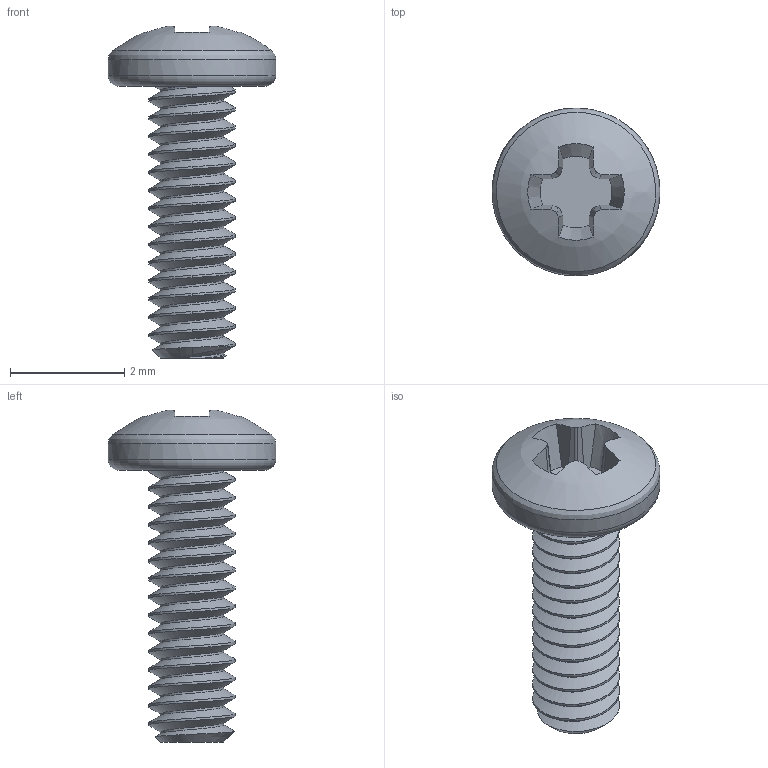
import cadquery as cq
import math


MAJOR_RADIUS = 1.524 / 2
PITCH = 0.3175
TURNS = 15
SHANK_LENGTH = TURNS * PITCH
FLANK_TAN = math.tan(math.radians(30))
CREST_FLAT = PITCH / 8
ROOT_FLAT = PITCH / 8
THREAD_DEPTH = (PITCH - CREST_FLAT - ROOT_FLAT) / 2 / FLANK_TAN
ROOT_RADIUS = MAJOR_RADIUS - THREAD_DEPTH
TIP_CHAMFER = 0.2
START_ANGLE = -90
CUTTER_OVERSHOOT = 0.01

HEAD_RADIUS = 2.946 / 2
HEAD_HEIGHT = 1.116
DOME_RADIUS = 2.24
RIM_FILLET = 0.2

RECESS_FLOOR_Z = 0.165
RECESS_HEIGHT = HEAD_HEIGHT - RECESS_FLOOR_Z
WING_FLOOR_HALF_WIDTH = 0.231
WING_FLOOR_RADIUS = 0.627
WING_SIDE_DRAFT = 5.0
WING_END_DRAFT = 15.6
RIDGE_FACE_START = 0.425
RIDGE_FACE_ANGLE = 22.5
RIDGE_FILLET = 0.06
WING_BLANK_LENGTH = HEAD_RADIUS


def make_groove():
    """Solid swept by a trapezoid along a right-handed helix, bounded by ruled surfaces.

    It runs one pitch past both ends of the shank and starts at +X.
    """
    start = cq.Vector(0, 0, -SHANK_LENGTH - PITCH)
    length = SHANK_LENGTH + 2 * PITCH
    outer_radius = MAJOR_RADIUS + CUTTER_OVERSHOOT
    half_root = ROOT_FLAT / 2
    half_mouth = half_root + (outer_radius - ROOT_RADIUS) * FLANK_TAN
    section = [
        (ROOT_RADIUS, -half_root),
        (outer_radius, -half_mouth),
        (outer_radius, half_mouth),
        (ROOT_RADIUS, half_root),
    ]
    helices = []
    for radius, height in section:
        wire = cq.Wire.makeHelix(PITCH, length, radius).translate(start + cq.Vector(0, 0, height))
        helices.append(wire.Edges()[0])

    faces = []
    for edge, next_edge in zip(helices, helices[1:] + helices[:1]):
        faces.append(cq.Face.makeRuledSurface(edge, next_edge))
    for end in (0, 1):
        corners = [edge.positionAt(end) for edge in helices]
        faces.append(cq.Face.makeFromWires(cq.Wire.makePolygon(corners, close=True)))
    return cq.Workplane(cq.Solid.makeSolid(cq.Shell.makeShell(faces)).fix())


def make_threaded_shank():
    """Cylinder with a chamfered tip and one helical groove along its whole length."""
    shank = (
        cq.Workplane("XY")
        .workplane(offset=-SHANK_LENGTH)
        .circle(MAJOR_RADIUS)
        .extrude(SHANK_LENGTH)
        .faces("<Z")
        .chamfer(TIP_CHAMFER)
    )
    return shank.cut(make_groove()).rotate((0, 0, 0), (0, 0, 1), START_ANGLE)


def make_head():
    """Pan head: a disc under a spherical dome, with both rims rounded."""
    dome_centre_z = HEAD_HEIGHT - DOME_RADIUS
    dome_edge_z = dome_centre_z + math.sqrt(DOME_RADIUS**2 - HEAD_RADIUS**2)
    mid_radius = HEAD_RADIUS / 2
    dome_mid_z = dome_centre_z + math.sqrt(DOME_RADIUS**2 - mid_radius**2)
    return (
        cq.Workplane("XZ")
        .moveTo(0, 0)
        .lineTo(HEAD_RADIUS, 0)
        .lineTo(HEAD_RADIUS, dome_edge_z)
        .threePointArc((mid_radius, dome_mid_z), (0, HEAD_HEIGHT))
        .close()
        .revolve(360, (0, 0, 0), (0, 1, 0))
        .edges("%CIRCLE")
        .fillet(RIM_FILLET)
    )


def cross_outline():
    """Corners of the recess floor: four long wings joined by obtuse ridges between them."""
    ridge_slope = math.tan(math.radians(RIDGE_FACE_ANGLE))
    ridge = (WING_FLOOR_HALF_WIDTH + RIDGE_FACE_START * ridge_slope) / (1 + ridge_slope)
    quarter = [
        (WING_BLANK_LENGTH, WING_FLOOR_HALF_WIDTH),
        (RIDGE_FACE_START, WING_FLOOR_HALF_WIDTH),
        (ridge, ridge),
        (WING_FLOOR_HALF_WIDTH, RIDGE_FACE_START),
        (WING_FLOOR_HALF_WIDTH, WING_BLANK_LENGTH),
    ]
    outline = []
    for _ in range(4):
        outline += quarter
        quarter = [(-y, x) for x, y in quarter]
    return outline


def make_recess():
    """Drafted cross with rounded ridges, its wing ends trimmed by a cone."""
    floor_plane = cq.Workplane("XY").workplane(offset=RECESS_FLOOR_Z)
    cross = floor_plane.polyline(cross_outline()).close().extrude(RECESS_HEIGHT, taper=-WING_SIDE_DRAFT)

    reach = RIDGE_FACE_START
    lower_z = RECESS_FLOOR_Z + RECESS_HEIGHT / 4
    upper_z = HEAD_HEIGHT - RECESS_HEIGHT / 4
    ridge_box = cq.selectors.BoxSelector((-reach, -reach, lower_z), (reach, reach, upper_z))
    cross = cross.edges(ridge_box).fillet(RIDGE_FILLET)

    cone = floor_plane.circle(WING_FLOOR_RADIUS).extrude(RECESS_HEIGHT, taper=-WING_END_DRAFT)
    return cross.intersect(cone)


head = make_head().cut(make_recess())
result = head.union(make_threaded_shank())